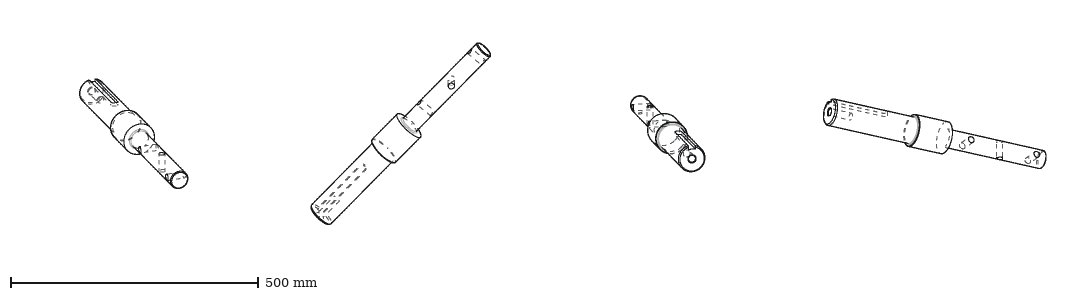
import cadquery as cq
import math

total_length = 493.0
collar_start = 190.5
collar_end = 267.0

drive_diameter = 55.0
collar_diameter = 66.5
spigot_diameter = 38.0

drive_chamfer_length = 3.5
drive_chamfer_height = 2.5
drive_fillet = 1.5
collar_chamfer = 1.0
spigot_fillet = 2.5
spigot_chamfer = 2.0

key_width = 14.0
key_end = 134.0
key_floor = 20.0

pin_diameter = 13.0
pin_pitch = 76.0
first_pin = 318.5

bore_diameter = 14.5
bore_chamfer = 1.5
bore_depth = 49.5
drill_tip_angle = 118.0


def revolve_about_axis(outline):
    return outline.close().revolve(360, (0, 0, 0), (1, 0, 0))


def shaft():
    drive_radius = drive_diameter / 2
    collar_radius = collar_diameter / 2
    spigot_radius = spigot_diameter / 2
    arc_offset = 1 - math.sqrt(0.5)
    outline = (
        cq.Workplane("XY")
        .lineTo(0, drive_radius - drive_chamfer_height)
        .lineTo(drive_chamfer_length, drive_radius)
        .lineTo(collar_start - drive_fillet, drive_radius)
        .threePointArc(
            (collar_start - drive_fillet * arc_offset, drive_radius + drive_fillet * arc_offset),
            (collar_start, drive_radius + drive_fillet),
        )
        .lineTo(collar_start, collar_radius - collar_chamfer)
        .lineTo(collar_start + collar_chamfer, collar_radius)
        .lineTo(collar_end, collar_radius)
        .lineTo(collar_end, spigot_radius + spigot_fillet)
        .threePointArc(
            (collar_end + spigot_fillet * arc_offset, spigot_radius + spigot_fillet * arc_offset),
            (collar_end + spigot_fillet, spigot_radius),
        )
        .lineTo(total_length - spigot_chamfer, spigot_radius)
        .lineTo(total_length, spigot_radius - spigot_chamfer)
        .lineTo(total_length, 0)
    )
    return revolve_about_axis(outline)


def keyway():
    half_width = key_width / 2
    return (
        cq.Workplane("XY", origin=(0, 0, key_floor))
        .moveTo(0, -half_width)
        .lineTo(key_end - half_width, -half_width)
        .threePointArc((key_end, 0), (key_end - half_width, half_width))
        .lineTo(0, half_width)
        .close()
        .extrude(drive_diameter / 2)
    )


def pin_hole(x, plane):
    return (
        cq.Workplane(plane, origin=(x, 0, 0))
        .circle(pin_diameter / 2)
        .extrude(spigot_diameter, both=True)
    )


def end_bore():
    radius = bore_diameter / 2
    tip_length = radius / math.tan(math.radians(drill_tip_angle / 2))
    outline = (
        cq.Workplane("XY")
        .lineTo(0, radius + bore_chamfer)
        .lineTo(bore_chamfer, radius)
        .lineTo(bore_depth, radius)
        .lineTo(bore_depth + tip_length, 0)
    )
    return revolve_about_axis(outline)


result = shaft().cut(keyway()).cut(end_bore())

for index, plane in enumerate(("XZ", "XY", "XZ")):
    result = result.cut(pin_hole(first_pin + index * pin_pitch, plane))